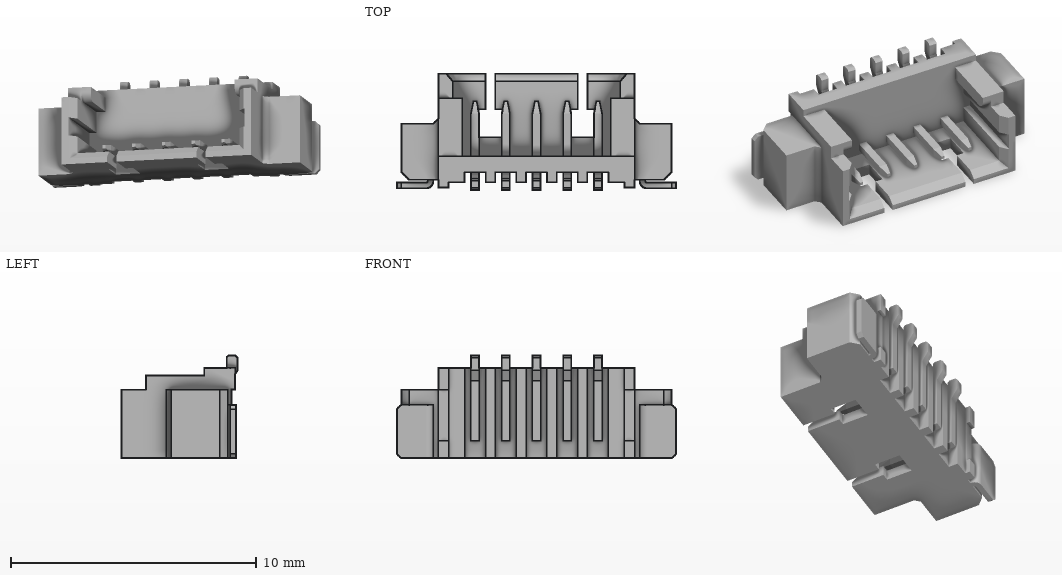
import cadquery as cq

TOTAL_LENGTH = 11.4
TOTAL_DEPTH = 4.75
TOTAL_HEIGHT = 4.2
OVERLAP = 0.11

housing_length = 8.0
housing_front = 0.1
wall_front = 0.31
pad_gap_front = 0.25
wall_back = 1.37
wall_top = 3.68
rail_top = 3.37
rail_end = 3.75
side_top = 2.79
rail_inner_x = 3.03
rail_round = 0.35
pad_width = 0.41
lower_pad_top = 0.72

cavity_half_width = 3.42
floor_top = 0.5
mouth_flare = 0.26
mouth_depth = 0.32
key_groove_half_width = 3.72
key_groove_bottom = 1.2
key_groove_top = 1.94
slot_width = 0.39
window_width = 1.03
window_front = 2.15
window_back = 3.3

pin_count = 5
pitch = 1.25
pin_width = 0.33
channel_width = 0.85
channel_back = 0.72
pin_bottom = 0.72
leg_depth = 0.46
leg_offset = channel_back - leg_depth
bend_bottom = 3.17
bend_top = 3.59
foot_front_chamfer = 0.1
foot_back_chamfer = 0.08
taper_start = 3.12
pin_tip = 3.61
tip_width = 0.14

ear_half_length = 5.52
ear_front = 0.41
ear_back = 2.71
ear_chamfer = 0.32
gusset = 0.2
tab_front = 0.07
tab_thickness = 0.24
tab_height = 2.18
tab_inner_x = 4.21
tab_bend = 0.3
tab_chamfer = 0.17

pin_positions = [(i - (pin_count - 1) / 2) * pitch for i in range(pin_count)]
slot_positions = [-1.5 * pitch, 1.5 * pitch]
half_length = housing_length / 2


def box(x_range, y_range, z_range):
    """Axis-aligned block given by its limits along X, Y and Z."""
    (x0, x1), (y0, y1), (z0, z1) = x_range, y_range, z_range
    return cq.Workplane("XY").box(x1 - x0, y1 - y0, z1 - z0, centered=False).translate((x0, y0, z0))


def across(half_width):
    """X limits symmetric about the middle of the part."""
    return (-half_width, half_width)


def centred(x, width):
    """X limits of a feature of the given width centred at x."""
    return (x - width / 2, x + width / 2)


def with_mirror(body):
    """A body on the +X side joined with its twin on the -X side."""
    return body.union(body.mirror("YZ"))


def housing_block():
    """Stepped side profile: tall front wall, then the rails, then the low mouth."""
    profile = [
        (housing_front, 0),
        (TOTAL_DEPTH, 0),
        (TOTAL_DEPTH, side_top),
        (rail_end, side_top),
        (rail_end, rail_top),
        (wall_back, rail_top),
        (wall_back, wall_top),
        (housing_front, wall_top),
    ]
    return cq.Workplane("YZ").polyline(profile).close().extrude(half_length, both=True)


def front_recesses():
    """Recess between the corner pads, and the gap between the upper and lower pads."""
    start = housing_front - OVERLAP
    middle = box(
        across(half_length - pad_width),
        (start, wall_front),
        (-OVERLAP, wall_top + OVERLAP),
    )
    gaps = box(
        across(half_length + OVERLAP),
        (start, pad_gap_front),
        (lower_pad_top, side_top),
    )
    return middle.union(gaps)


def cavity():
    """Open space behind the front wall, with keying grooves and a flared mouth."""
    back = TOTAL_DEPTH + OVERLAP
    main = box(across(cavity_half_width), (wall_back, back), (floor_top, side_top))
    between_rails = box(across(rail_inner_x), (wall_back, back), (floor_top, rail_top + OVERLAP))
    grooves = box(across(key_groove_half_width), (wall_back, back), (key_groove_bottom, key_groove_top))

    flare_start = TOTAL_DEPTH - mouth_depth
    flare_half_width = cavity_half_width + mouth_flare
    side_flare = (
        cq.Workplane("XY")
        .workplane(offset=floor_top - mouth_flare)
        .polyline([
            (-cavity_half_width, flare_start),
            (cavity_half_width, flare_start),
            (flare_half_width, TOTAL_DEPTH),
            (-flare_half_width, TOTAL_DEPTH),
        ])
        .close()
        .extrude(side_top - floor_top + mouth_flare)
    )
    floor_flare = (
        cq.Workplane("YZ")
        .polyline([
            (flare_start, side_top),
            (flare_start, floor_top),
            (TOTAL_DEPTH, floor_top - mouth_flare),
            (TOTAL_DEPTH, side_top),
        ])
        .close()
        .extrude(flare_half_width, both=True)
    )
    mouth = side_flare.intersect(floor_flare)
    return main.union(between_rails).union(grooves).union(mouth)


def rail_corner_cut():
    """Rounds the lower back corner of the overhanging part of each rail."""
    start = rail_end - rail_round
    top = side_top + rail_round
    cut = (
        cq.Workplane("YZ")
        .workplane(offset=rail_inner_x)
        .moveTo(start, side_top)
        .radiusArc((rail_end, top), -rail_round)
        .lineTo(rail_end, side_top)
        .close()
        .extrude(cavity_half_width - rail_inner_x)
    )
    return with_mirror(cut)


def floor_opening(x):
    """Slot from the mouth that widens into a window through the floor."""
    z_range = (-OVERLAP, floor_top + OVERLAP)
    slot = box(centred(x, slot_width), (window_front, TOTAL_DEPTH + OVERLAP), z_range)
    window = box(centred(x, window_width), (window_front, window_back), z_range)
    return slot.union(window)


def pin_channel(x):
    """Full-height channel in the front face that holds one pin leg."""
    y_range = (housing_front - OVERLAP, channel_back)
    return box(centred(x, channel_width), y_range, (-OVERLAP, wall_top + OVERLAP))


def pin(x):
    """Cranked solder leg with a horizontal contact that ends in a tapered tip."""
    leg_profile = [
        (leg_offset, pin_bottom),
        (channel_back, pin_bottom),
        (channel_back, bend_bottom),
        (leg_depth, bend_top),
        (leg_depth, TOTAL_HEIGHT - foot_back_chamfer),
        (leg_depth - foot_back_chamfer, TOTAL_HEIGHT),
        (foot_front_chamfer, TOTAL_HEIGHT),
        (0, TOTAL_HEIGHT - foot_front_chamfer),
        (0, bend_top),
        (leg_offset, bend_bottom),
    ]
    leg = cq.Workplane("YZ").polyline(leg_profile).close().extrude(pin_width / 2, both=True)
    contact = box(
        centred(0, pin_width),
        (channel_back - OVERLAP, taper_start),
        (pin_bottom, pin_bottom + pin_width),
    )
    tip = (
        contact.faces(">Y")
        .workplane(centerOption="CenterOfBoundBox")
        .rect(pin_width, pin_width)
        .workplane(offset=pin_tip - taper_start)
        .rect(tip_width, tip_width)
        .loft(combine=False)
    )
    return leg.union(contact).union(tip).translate((x, 0, 0))


def ear():
    """Side block with a chamfered front corner and a gusset at the back."""
    outline = [
        (half_length - OVERLAP, ear_front),
        (ear_half_length - ear_chamfer, ear_front),
        (ear_half_length, ear_front + ear_chamfer),
        (ear_half_length, ear_back),
        (half_length + gusset, ear_back),
        (half_length, ear_back + gusset),
        (half_length - OVERLAP, ear_back + gusset),
    ]
    return cq.Workplane("XY").polyline(outline).close().extrude(side_top)


def solder_tab():
    """Upright plate whose inner end bends back into the ear."""
    outer_x = TOTAL_LENGTH / 2
    bend_x = tab_inner_x + tab_bend
    bend_y = tab_front + tab_bend
    inner_bend = tab_bend - tab_thickness
    plate = (
        cq.Workplane("XY")
        .moveTo(outer_x, tab_front)
        .lineTo(bend_x, tab_front)
        .radiusArc((tab_inner_x, bend_y), tab_bend)
        .lineTo(tab_inner_x, ear_front + OVERLAP)
        .lineTo(tab_inner_x + tab_thickness, ear_front + OVERLAP)
        .lineTo(tab_inner_x + tab_thickness, bend_y)
        .radiusArc((bend_x, tab_front + tab_thickness), -inner_bend)
        .lineTo(outer_x, tab_front + tab_thickness)
        .close()
        .extrude(tab_height)
    )
    return plate.edges("|Y and >X").chamfer(tab_chamfer)


housing = housing_block().cut(front_recesses()).cut(cavity()).cut(rail_corner_cut())
for slot_x in slot_positions:
    housing = housing.cut(floor_opening(slot_x))
for pin_x in pin_positions:
    housing = housing.cut(pin_channel(pin_x))

result = housing.union(with_mirror(ear())).union(with_mirror(solder_tab()))
for pin_x in pin_positions:
    result = result.union(pin(pin_x))